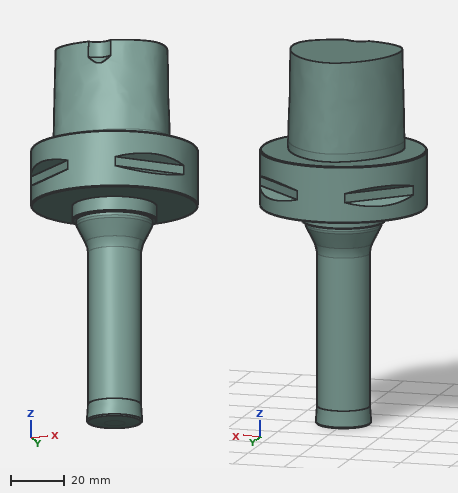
import cadquery as cq
import math


shank_length = 38.0
straight_length = 3.2
base_mean_radius = 22.0
end_mean_radius = 21.2
lobe_height = 1.5
curve_points = 72

notch_radius = 5.9
notch_back_y = -17.5
notch_wall_depth = 6.0
notch_cone_height = 6.9

flange_diameter = 63.0
flange_radius = flange_diameter / 2
flange_height = 21.9
flange_chamfer = 0.5

groove_count = 4
groove_first_angle = 45
groove_depth_z = 12.1
groove_floor_height = 3.5
groove_floor_distance = 28.0
groove_side_angle = 30

neck_radius = 32.0 / 2
neck_height = 5.6
neck_chamfer = 0.5
collar_radius = 29.0 / 2
collar_height = 1.6
bar_radius = 20.2 / 2
cone_height = 8.6
cone_top_fillet = 2.2
cone_bottom_fillet = 8.6
selection_margin = 0.01

overall_length = 144
head_height = 7.0
head_radius = 10.5
head_chamfer = 0.6
head_tip_radius = 3.9
head_tip_height = 0.3

flange_bottom = -flange_height
neck_bottom = flange_bottom - neck_height
collar_bottom = neck_bottom - collar_height
cone_bottom = collar_bottom - cone_height
head_bottom = shank_length - overall_length
head_top = head_bottom + head_height


def polygon_wire(mean_radius, z):
    """Constant-width curve with one lobe on +Y; the size is set by its mean radius."""

    def point(t):
        angle = 2 * math.pi * t
        lobe_angle = 3 * (angle - math.pi / 2)
        support = mean_radius + lobe_height * math.cos(lobe_angle)
        slope = -3 * lobe_height * math.sin(lobe_angle)
        return cq.Vector(
            support * math.cos(angle) - slope * math.sin(angle),
            support * math.sin(angle) + slope * math.cos(angle),
            z,
        )

    points = [point(i / curve_points) for i in range(curve_points)]
    return cq.Wire.assembleEdges([cq.Edge.makeSpline(points, periodic=True)])


def make_shank():
    base = polygon_wire(base_mean_radius, 0)
    taper_start = polygon_wire(base_mean_radius, straight_length)
    end = polygon_wire(end_mean_radius, shank_length)
    straight = cq.Solid.makeLoft([base, taper_start], True)
    taper = cq.Solid.makeLoft([taper_start, end], True)
    return cq.Workplane(straight).union(cq.Workplane(taper), clean=False)


def make_key_notch():
    """Cylinder with a conical floor, its axis just outside the shank."""
    wall_bottom = shank_length - notch_wall_depth
    profile = [
        (0, shank_length),
        (notch_radius, shank_length),
        (notch_radius, wall_bottom),
        (0, wall_bottom - notch_cone_height),
    ]
    notch = cq.Workplane("XZ").polyline(profile).close().revolve(360, (0, 0), (0, 1))
    return notch.translate((0, notch_back_y - notch_radius, 0))


def make_flange():
    flange = cq.Workplane("XY").circle(flange_radius).extrude(-flange_height)
    return flange.edges().chamfer(flange_chamfer)


def make_gripper_groove(angle):
    """Straight groove with a flat floor and flared sides."""
    depth = flange_radius - groove_floor_distance
    half_floor = groove_floor_height / 2
    half_mouth = half_floor + depth * math.tan(math.radians(groove_side_angle))
    profile = [
        (groove_floor_distance, -half_floor),
        (flange_radius, -half_mouth),
        (flange_radius, half_mouth),
        (groove_floor_distance, half_floor),
    ]
    groove = cq.Workplane("XZ").polyline(profile).close().extrude(flange_radius, both=True)
    return groove.translate((0, 0, -groove_depth_z)).rotate((0, 0, 0), (0, 0, 1), angle)


def make_neck_and_bar():
    profile = [
        (0, flange_bottom),
        (neck_radius, flange_bottom),
        (neck_radius, neck_bottom + neck_chamfer),
        (neck_radius - neck_chamfer, neck_bottom),
        (collar_radius, neck_bottom),
        (collar_radius, collar_bottom),
        (bar_radius, cone_bottom),
        (bar_radius, head_top),
        (0, head_top),
    ]
    bar = cq.Workplane("XZ").polyline(profile).close().revolve(360, (0, 0), (0, 1))

    def ring_at(radius, z):
        low_corner = (-2 * radius, -2 * radius, z - selection_margin)
        high_corner = (2 * radius, 2 * radius, z + selection_margin)
        return cq.selectors.BoxSelector(low_corner, high_corner, boundingbox=True)

    bar = bar.edges(ring_at(bar_radius, cone_bottom)).fillet(cone_bottom_fillet)
    return bar.edges(ring_at(collar_radius, collar_bottom)).fillet(cone_top_fillet)


def make_holder():
    holder = make_flange()
    for i in range(groove_count):
        holder = holder.cut(make_gripper_groove(groove_first_angle + i * 360 / groove_count))
    shank = make_shank().cut(make_key_notch())
    return holder.union(shank, clean=False).union(make_neck_and_bar(), clean=False)


def make_cutting_head():
    """Slightly flared head with a chamfered rim and a shallow tip."""
    rim_bottom = head_bottom + head_tip_height
    profile = [
        (0, head_top),
        (bar_radius, head_top),
        (head_radius, rim_bottom + head_chamfer),
        (head_radius - head_chamfer, rim_bottom),
        (head_tip_radius, head_bottom),
        (0, head_bottom),
    ]
    return cq.Workplane("XZ").polyline(profile).close().revolve(360, (0, 0), (0, 1))


holder = make_holder()
cutting_head = make_cutting_head()

result = cq.Compound.makeCompound([holder.solids().val(), cutting_head.val()])